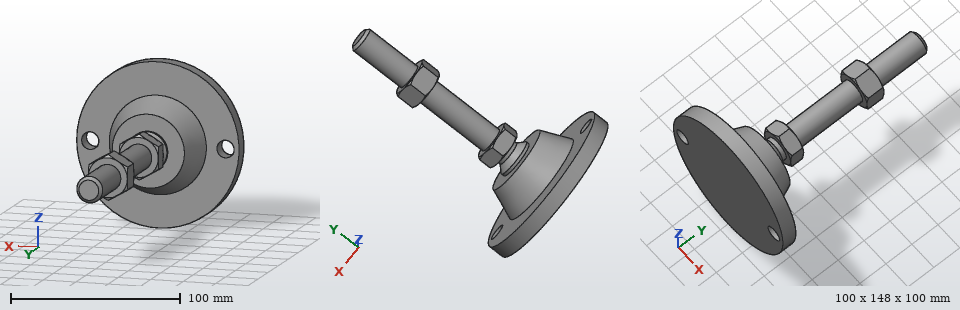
import cadquery as cq
import math

total_length = 148.0

plate_diameter = 100.0
plate_thickness = 10.0
hole_diameter = 10.5
hole_spacing = 83.3

hub_top = 29.0
hub_lower_radius = 29.9
hub_upper_radius = 22.2

collar_radius = 12.0
collar_rim_height = 1.9
collar_top = 35.1

stud_radius = 8.0
tip_chamfer = 1.9

nut_across_flats = 24.0
lower_nut_start = 38.0
lower_nut_height = 10.0
upper_nut_start = 96.8
upper_nut_height = 13.2
nut_chamfer_angle = 30.0


def revolved_body():
    """Plate, hub, collar and stud as one profile of radius against height."""
    rim_top = hub_top + collar_rim_height
    return (
        cq.Workplane("XY")
        .lineTo(plate_diameter / 2, 0)
        .lineTo(plate_diameter / 2, plate_thickness)
        .lineTo(hub_lower_radius, plate_thickness)
        .lineTo(hub_upper_radius, hub_top)
        .lineTo(collar_radius, hub_top)
        .lineTo(collar_radius, rim_top)
        .lineTo(stud_radius, collar_top)
        .lineTo(stud_radius, total_length - tip_chamfer)
        .lineTo(stud_radius - tip_chamfer, total_length)
        .lineTo(0, total_length)
        .close()
        .revolve(360, (0, 0, 0), (0, 1, 0))
    )


def nut(start, height):
    """Hexagonal nut with corners on the Z axis and both ends chamfered."""
    flat_radius = nut_across_flats / 2
    corner_radius = flat_radius / math.cos(math.radians(30))
    drop = (corner_radius - flat_radius) * math.tan(math.radians(nut_chamfer_angle))
    hexagon = (
        cq.Workplane("XZ", origin=(0, start, 0))
        .polygon(6, 2 * corner_radius)
        .extrude(-height)
        .rotate((0, 0, 0), (0, 1, 0), 90)
    )
    chamfer_envelope = (
        cq.Workplane("XY")
        .moveTo(0, start)
        .lineTo(flat_radius, start)
        .lineTo(corner_radius, start + drop)
        .lineTo(corner_radius, start + height - drop)
        .lineTo(flat_radius, start + height)
        .lineTo(0, start + height)
        .close()
        .revolve(360, (0, 0, 0), (0, 1, 0))
    )
    return hexagon.intersect(chamfer_envelope)


fixing_holes = (
    cq.Workplane("XZ")
    .rarray(hole_spacing, 1.5, 2, 1)
    .circle(hole_diameter / 2)
    .extrude(-plate_thickness)
)

result = (
    revolved_body()
    .union(nut(lower_nut_start, lower_nut_height))
    .union(nut(upper_nut_start, upper_nut_height))
    .cut(fixing_holes)
)